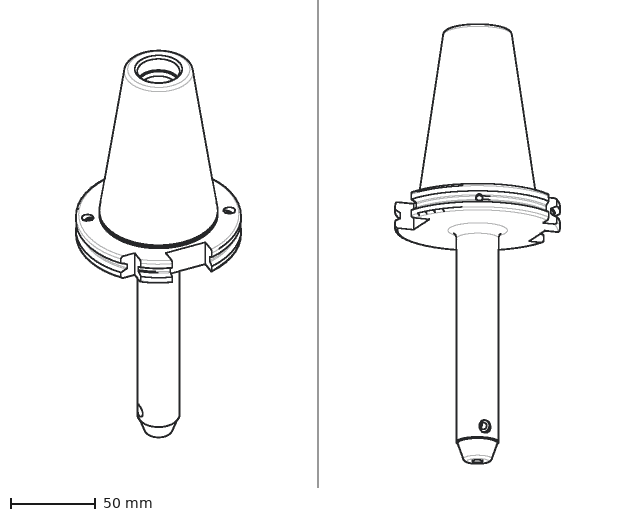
import cadquery as cq
import math

gauge_dia = 69.85
taper_length = 101.75
taper_per_length = 7 / 24
taper_top_fillet = 2.0

taper_base_z = -0.8
relief_pitch = 0.8
relief_depth = 0.3

flange_dia = 97.5
flange_radius = flange_dia / 2
flange_top = -3.2
flange_bottom = -19.1
flange_fillet = 1.5
groove_dia = 91.25
groove_radius = groove_dia / 2
groove_center = -11.3
groove_floor_width = 3.0
groove_fillet = 0.8
groove_flank_angle = 60

key_width = 25.7
key_left_x = -35.5
key_right_x = 37.7
notch_x = 30.0
notch_y = -29.5

tip_z = -160.0
shank_dia = 25.0
shank_radius = shank_dia / 2
shank_fillet = 5.0
nose_length = 10.8
nose_step = 0.7
nose_dia = 16.0
tip_fillet = 2.2

draw_bar_mouth_dia = 28.0
draw_bar_pilot_dia = 25.0
draw_bar_pilot_depth = 9.5
draw_bar_ledge_width = 0.5
draw_bar_ledge_step = 0.8
draw_bar_neck_length = 3.0
draw_bar_thread_dia = 21.0
draw_bar_thread_depth = 45.0
drill_point_angle = 118
coolant_bore_dia = 9.0
tool_bore_dia = 6.0
tool_bore_depth = 36.0

coolant_angles = (70, 250)
coolant_radius = 42.0
coolant_tilt = 20
coolant_mouth_dia = 6.4
coolant_inner_dia = 3.5
coolant_seat_depth = 2.5
coolant_hole_depth = 6.0
groove_hole_dia = 4.0
groove_hole_depth = 2.5

clamp_height = 18.0
clamp_tilt = 20
clamp_mouth_dia = 7.2
clamp_inner_dia = 4.0
clamp_seat_depth = 3.0
clamp_hole_depth = shank_radius


def revolve_outline(outline):
    """Turn a closed outline of (radius, z) points around the Z axis."""
    return cq.Workplane("YZ").polyline(outline).close().revolve(360, (0, 0, 0), (0, 1, 0))


def round_edge(body, radius, z, fillet):
    """Fillet the circular edge of the given radius at height z."""
    margin = 0.01
    corner = radius + margin
    box = cq.selectors.BoxSelector((-corner, -corner, z - margin), (corner, corner, z + margin), True)
    return body.edges(box).edges(cq.selectors.RadiusNthSelector(-1)).fillet(fillet)


def make_body():
    """Solid of revolution: taper, flange with gripper groove, shank and nose."""
    top_radius = (gauge_dia - taper_length * taper_per_length) / 2
    flank_rise = (flange_radius - groove_radius) * math.tan(math.radians(groove_flank_angle / 2))
    floor_half = groove_floor_width / 2
    mouth_half = floor_half + flank_rise
    taper_base_radius = (gauge_dia - taper_base_z * taper_per_length) / 2
    outline = [
        (0, taper_length),
        (top_radius, taper_length),
        (taper_base_radius, taper_base_z),
        (taper_base_radius - relief_depth, taper_base_z - relief_pitch),
        (taper_base_radius, taper_base_z - 2 * relief_pitch),
        (taper_base_radius, flange_top),
        (flange_radius, flange_top),
        (flange_radius, groove_center + mouth_half),
        (groove_radius, groove_center + floor_half),
        (groove_radius, groove_center - floor_half),
        (flange_radius, groove_center - mouth_half),
        (flange_radius, flange_bottom),
        (shank_radius, flange_bottom),
        (shank_radius, tip_z + nose_length + nose_step),
        (shank_radius - nose_step, tip_z + nose_length),
        (nose_dia / 2, tip_z),
        (0, tip_z),
    ]
    body = revolve_outline(outline)
    fillets = [
        (top_radius, taper_length, taper_top_fillet),
        (flange_radius, flange_top, flange_fillet),
        (groove_radius, groove_center + floor_half, groove_fillet),
        (groove_radius, groove_center - floor_half, groove_fillet),
        (flange_radius, flange_bottom, flange_fillet),
        (shank_radius, flange_bottom, shank_fillet),
        (nose_dia / 2, tip_z, tip_fillet),
    ]
    for radius, z, fillet in fillets:
        body = round_edge(body, radius, z, fillet)
    return body


def flange_cut(x_from, x_to, y_from, y_to):
    """Rectangular block through the whole thickness of the flange."""
    height = flange_top - flange_bottom
    block = cq.Workplane("XY").box(x_to - x_from, y_to - y_from, height, centered=False)
    return block.translate((x_from, y_from, flange_bottom))


def make_center_bore():
    """Draw-bar socket, coolant bore and tool bore, running through the whole part."""
    pilot_radius = draw_bar_pilot_dia / 2
    thread_radius = draw_bar_thread_dia / 2
    feed_radius = coolant_bore_dia / 2
    tool_radius = tool_bore_dia / 2
    mouth_chamfer = (draw_bar_mouth_dia - draw_bar_pilot_dia) / 2
    pilot_end = taper_length - draw_bar_pilot_depth
    thread_end = taper_length - draw_bar_thread_depth
    point_slope = math.tan(math.radians(drill_point_angle / 2))
    step_z = tip_z + tool_bore_depth
    outline = [
        (0, taper_length),
        (draw_bar_mouth_dia / 2, taper_length),
        (pilot_radius, taper_length - mouth_chamfer),
        (pilot_radius, pilot_end),
        (pilot_radius - draw_bar_ledge_width, pilot_end),
        (pilot_radius - draw_bar_ledge_width, pilot_end - draw_bar_ledge_step),
        (thread_radius, pilot_end - draw_bar_neck_length),
        (thread_radius, thread_end),
        (feed_radius, thread_end - (thread_radius - feed_radius) / point_slope),
        (feed_radius, step_z),
        (tool_radius, step_z),
        (tool_radius, tip_z),
        (0, tip_z),
    ]
    return revolve_outline(outline)


def stepped_hole(mouth, outward, mouth_dia, seat_depth, inner_dia, depth):
    """Counterbored hole along `outward`; depths are measured on its axis from the point `mouth`."""
    clearance = mouth_dia / 2
    seat = mouth - outward * seat_depth
    bottom = mouth - outward * depth
    screw = cq.Solid.makeCylinder(mouth_dia / 2, seat_depth + clearance, seat, outward)
    inner = cq.Solid.makeCylinder(inner_dia / 2, depth, bottom, outward)
    return cq.Workplane(screw.fuse(inner))


def make_coolant_holes(angle):
    """Screw hole that leans towards the axis as it descends, and the blind groove hole below it."""
    tilt = math.radians(coolant_tilt)
    screw_hole = stepped_hole(
        cq.Vector(coolant_radius, 0, flange_top),
        cq.Vector(math.sin(tilt), 0, math.cos(tilt)),
        coolant_mouth_dia,
        coolant_seat_depth,
        coolant_inner_dia,
        coolant_hole_depth,
    )
    groove_hole = (
        cq.Workplane("YZ", origin=(groove_radius - groove_hole_depth, 0, groove_center))
        .circle(groove_hole_dia / 2)
        .extrude(flange_radius)
    )
    return screw_hole.union(groove_hole).rotate((0, 0, 0), (0, 0, 1), angle)


def make_clamp_hole():
    """Screw hole that rises towards the shank axis and opens into the tool bore."""
    tilt = math.radians(clamp_tilt)
    return stepped_hole(
        cq.Vector(0, -shank_radius, tip_z + clamp_height),
        cq.Vector(0, -math.cos(tilt), -math.sin(tilt)),
        clamp_mouth_dia,
        clamp_seat_depth,
        clamp_inner_dia,
        clamp_hole_depth,
    )


part = make_body()
part = part.cut(flange_cut(-flange_radius, key_left_x, -key_width / 2, key_width / 2))
part = part.cut(flange_cut(key_right_x, flange_radius, -key_width / 2, key_width / 2))
part = part.cut(flange_cut(notch_x, flange_radius, -flange_radius, notch_y))
part = part.cut(make_center_bore())
for coolant_angle in coolant_angles:
    part = part.cut(make_coolant_holes(coolant_angle))
result = part.cut(make_clamp_hole())